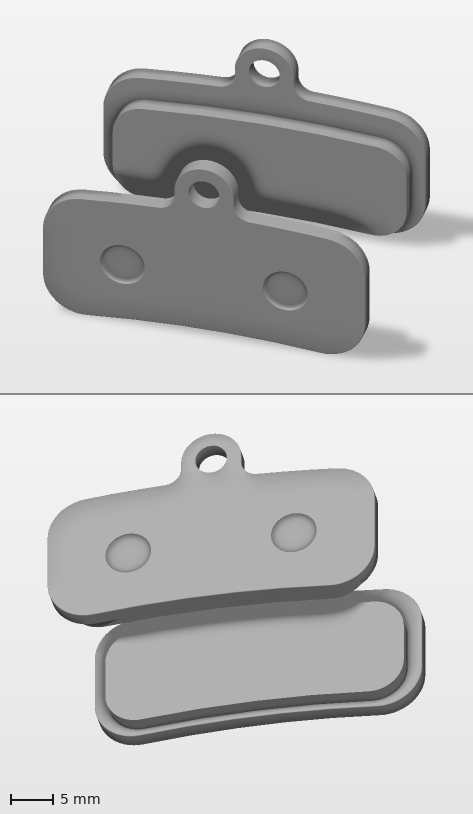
import cadquery as cq
import math

overall_length = 39.5
overall_depth = 28.0
plate_thickness = 2.0
lining_thickness = 2.0
edge_round = 0.1

plate_inner_radius = 150.1
plate_outer_radius = 166.7
plate_corner_radius = 5.0
lining_length = 36.02
lining_inner_radius = 150.9
lining_outer_radius = 163.6
lining_corner_radius = 4.0

lug_radius = 3.65
lug_center_z = 169.45
lug_hole_diameter = 3.8
lug_fillet_radius = 2.0
lug_root_z = plate_outer_radius - plate_corner_radius

recess_spacing = 20.0
recess_center_z = 157.53
recess_diameter = 5.5
recess_depth = 0.47

outer_face_y = -overall_depth / 2
joint_y = outer_face_y + plate_thickness


def sketch_plane(y):
    """XZ plane at the given Y, with its normal (extrusion direction) along +Y.

    Local x is -X and local y is +Z; every outline is symmetric about X = 0.
    """
    return cq.Workplane(cq.Plane(origin=(0, y, 0), xDir=(-1, 0, 0), normal=(0, 1, 0)))


def curved_slab(y, thickness, length, inner_radius, outer_radius, corner_radius):
    """Slab between two concentric arcs and two upright ends, with tangent rounded corners."""
    half_length = length / 2
    corner_x = half_length - corner_radius
    lower_center_distance = inner_radius + corner_radius
    upper_center_distance = outer_radius - corner_radius
    lower_z = math.sqrt(lower_center_distance**2 - corner_x**2)
    upper_z = math.sqrt(upper_center_distance**2 - corner_x**2)

    lower_scale = inner_radius / lower_center_distance
    upper_scale = outer_radius / upper_center_distance
    lower_tangent = (corner_x * lower_scale, lower_z * lower_scale)
    upper_tangent = (corner_x * upper_scale, upper_z * upper_scale)

    lower_angle = math.atan2(-lower_z, -corner_x) / 2
    lower_middle = (
        corner_x + corner_radius * math.cos(lower_angle),
        lower_z + corner_radius * math.sin(lower_angle),
    )
    upper_angle = math.atan2(upper_z, corner_x) / 2
    upper_middle = (
        corner_x + corner_radius * math.cos(upper_angle),
        upper_z + corner_radius * math.sin(upper_angle),
    )

    def flipped(point):
        return (-point[0], point[1])

    outline = (
        sketch_plane(y)
        .moveTo(*flipped(lower_tangent))
        .threePointArc((0, inner_radius), lower_tangent)
        .threePointArc(lower_middle, (half_length, lower_z))
        .lineTo(half_length, upper_z)
        .threePointArc(upper_middle, upper_tangent)
        .threePointArc((0, outer_radius), flipped(upper_tangent))
        .threePointArc(flipped(upper_middle), (-half_length, upper_z))
        .lineTo(-half_length, lower_z)
        .threePointArc(flipped(lower_middle), flipped(lower_tangent))
        .close()
    )
    return outline.extrude(thickness)


def hanger_lug():
    """Round-topped lug that reaches down into the plate."""
    return (
        sketch_plane(outer_face_y)
        .moveTo(-lug_radius, lug_root_z)
        .lineTo(lug_radius, lug_root_z)
        .lineTo(lug_radius, lug_center_z)
        .threePointArc((0, lug_center_z + lug_radius), (-lug_radius, lug_center_z))
        .close()
        .extrude(plate_thickness)
    )


def recess_cutter(center_x):
    """Round cutter for one piston recess, revolved about its own axis along Y."""
    mouth_radius = recess_diameter / 2
    floor_radius = mouth_radius - recess_depth
    arc_middle = (
        floor_radius + recess_depth * math.cos(math.pi / 4),
        recess_depth * math.sin(math.pi / 4),
    )
    return (
        cq.Workplane("XY")
        .lineTo(mouth_radius, 0)
        .threePointArc(arc_middle, (floor_radius, recess_depth))
        .lineTo(0, recess_depth)
        .close()
        .revolve(360, (0, 0), (0, 1))
        .translate((center_x, outer_face_y, recess_center_z))
    )


def backing_plate():
    """Plate with lug, filleted lug roots, softened outline edges, lug hole and recesses."""
    plate = curved_slab(
        outer_face_y,
        plate_thickness,
        overall_length,
        plate_inner_radius,
        plate_outer_radius,
        plate_corner_radius,
    )
    plate = plate.union(hanger_lug())

    lug_corner_z = math.sqrt(plate_outer_radius**2 - lug_radius**2)
    for side in (-1, 1):
        corner = (side * lug_radius, outer_face_y + plate_thickness / 2, lug_corner_z)
        plate = plate.edges(cq.selectors.NearestToPointSelector(corner)).fillet(lug_fillet_radius)

    plate = plate.faces("<Y or >Y").edges().fillet(edge_round)

    lug_hole = (
        sketch_plane(outer_face_y)
        .center(0, lug_center_z)
        .circle(lug_hole_diameter / 2)
        .extrude(plate_thickness)
    )
    plate = plate.cut(lug_hole)
    for side in (-1, 1):
        plate = plate.cut(recess_cutter(side * recess_spacing / 2))
    return plate


def brake_pad():
    """Backing plate on the -Y side with its friction lining, as one solid."""
    lining = curved_slab(
        joint_y,
        lining_thickness,
        lining_length,
        lining_inner_radius,
        lining_outer_radius,
        lining_corner_radius,
    )
    return backing_plate().union(lining)


front_pad = brake_pad()
rear_pad = front_pad.mirror("XZ")

result = cq.Compound.makeCompound([front_pad.val(), rear_pad.val()])